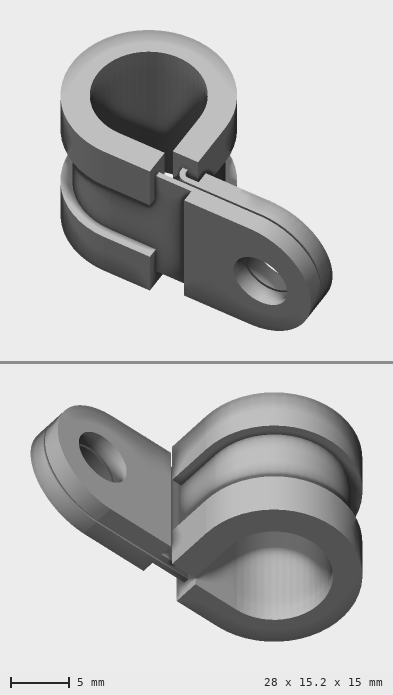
import cadquery as cq
import math

cushion_outer_radius = 7.5
cushion_inner_radius = 5.0
cushion_height = 2 * cushion_outer_radius
leg_length = 4.5

groove_width = 6.5
strap_outer_radius = 6.5
strap_thickness = 0.5
strap_inner_radius = strap_outer_radius - strap_thickness
strap_width = 12.0
bend_inner_radius = 0.5
bend_outer_radius = bend_inner_radius + strap_thickness

pad_start_x = 8.0
pad_straight_end_x = 14.65
pad_end_x = 20.5
pad_thickness = 1.7
pad_gap = 0.2
pad_half_width = strap_width / 2
hole_x = 15.5
hole_diameter = 5.3

lower_pad_top = -strap_inner_radius
lower_pad_bottom = lower_pad_top - pad_thickness
upper_pad_bottom = lower_pad_top + pad_gap


def loop(inner_radius, outer_radius, height):
    """Three-quarter ring with a straight leg along +X and another along -Y."""
    diagonal = math.sqrt(0.5)
    return (
        cq.Workplane("XY")
        .moveTo(leg_length, -outer_radius)
        .lineTo(0, -outer_radius)
        .threePointArc((-outer_radius * diagonal, outer_radius * diagonal), (outer_radius, 0))
        .lineTo(outer_radius, -leg_length)
        .lineTo(inner_radius, -leg_length)
        .lineTo(inner_radius, 0)
        .threePointArc((-inner_radius * diagonal, inner_radius * diagonal), (0, -inner_radius))
        .lineTo(leg_length, -inner_radius)
        .close()
        .extrude(height / 2, both=True)
    )


def pad(bottom_y):
    """Mounting pad with a round +X end and a bolt hole."""
    plate = (
        cq.Workplane("XZ", origin=(0, bottom_y, 0))
        .moveTo(pad_start_x, -pad_half_width)
        .lineTo(pad_straight_end_x, -pad_half_width)
        .threePointArc((pad_end_x, 0), (pad_straight_end_x, pad_half_width))
        .lineTo(pad_start_x, pad_half_width)
        .close()
        .extrude(-pad_thickness)
    )
    hole = (
        cq.Workplane("XZ", origin=(hole_x, bottom_y, 0))
        .circle(hole_diameter / 2)
        .extrude(-pad_thickness)
    )
    return plate.cut(hole)


def lower_strap_link():
    """Flat strap from the lower leg to the lower pad."""
    return (
        cq.Workplane("XY")
        .moveTo(leg_length, -strap_outer_radius)
        .lineTo(pad_start_x, -strap_outer_radius)
        .lineTo(pad_start_x, -strap_inner_radius)
        .lineTo(leg_length, -strap_inner_radius)
        .close()
        .extrude(strap_width / 2, both=True)
    )


def upper_strap_link():
    """Strap leaving the upright leg and bending outward to the upper pad."""
    bend_x = strap_inner_radius + bend_outer_radius
    bend_y = upper_pad_bottom + bend_outer_radius
    return (
        cq.Workplane("XY")
        .moveTo(strap_inner_radius, -leg_length)
        .lineTo(strap_inner_radius, bend_y)
        .radiusArc((bend_x, upper_pad_bottom), -bend_outer_radius)
        .lineTo(pad_start_x, upper_pad_bottom)
        .lineTo(pad_start_x, upper_pad_bottom + strap_thickness)
        .lineTo(bend_x, upper_pad_bottom + strap_thickness)
        .radiusArc((strap_outer_radius, bend_y), bend_inner_radius)
        .lineTo(strap_outer_radius, -leg_length)
        .close()
        .extrude(strap_width / 2, both=True)
    )


cushion = loop(cushion_inner_radius, cushion_outer_radius, cushion_height)
groove = loop(strap_outer_radius, cushion_outer_radius, groove_width)

result = (
    cushion.cut(groove)
    .union(lower_strap_link())
    .union(upper_strap_link())
    .union(pad(lower_pad_bottom))
    .union(pad(upper_pad_bottom))
)